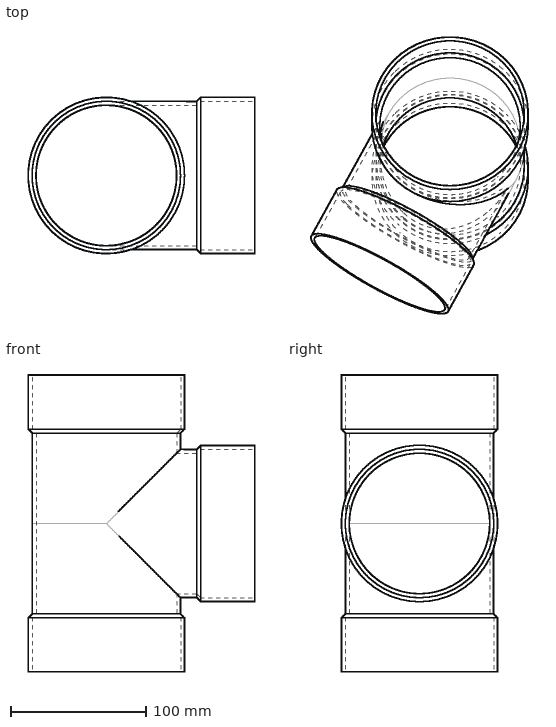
import cadquery as cq

run_length = 220.0
branch_reach = 110.0
bore_diameter = 104.0
pipe_diameter = 110.0
socket_diameter = 116.0
socket_depth = 40.0

bore_radius = bore_diameter / 2
pipe_radius = pipe_diameter / 2
socket_radius = socket_diameter / 2


def arm(length, body_radius, mouth_radius):
    """Solid arm from the tee centre up along Z, widening at 45 degrees into its mouth."""
    mouth_start = length - socket_depth
    taper_length = mouth_radius - body_radius
    return (
        cq.Workplane("XZ")
        .moveTo(0, 0)
        .lineTo(body_radius, 0)
        .lineTo(body_radius, mouth_start - taper_length)
        .lineTo(mouth_radius, mouth_start)
        .lineTo(mouth_radius, length)
        .lineTo(0, length)
        .close()
        .revolve(360, (0, 0, 0), (0, 1, 0))
    )


def tee(body_radius, mouth_radius):
    """Join arms pointing up, down and along +X."""
    up = arm(run_length / 2, body_radius, mouth_radius)
    down = up.mirror("XY")
    branch = arm(branch_reach, body_radius, mouth_radius).rotate((0, 0, 0), (0, 1, 0), 90)
    run = up.union(down).clean()
    return run.union(branch)


outside = tee(pipe_radius, socket_radius)
inside = tee(bore_radius, pipe_radius)
result = outside.cut(inside)